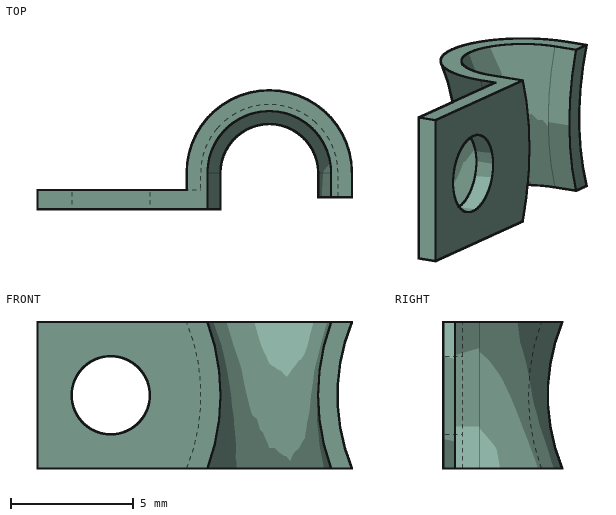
import cadquery as cq
import math

total_length = 12.88
width = 6.0
thickness = 0.8
throat_radius = 2.0
flare_radius = 8.68
tab_leg_length = 1.5
free_leg_length = 1.0
hole_diameter = 3.2

half_width = width / 2
outer_throat_radius = throat_radius + thickness
outer_flare_radius = flare_radius - thickness


def arc_sag(radius):
    return radius - math.sqrt(radius**2 - half_width**2)


inner_mouth_radius = throat_radius + arc_sag(flare_radius)
outer_mouth_radius = outer_throat_radius + arc_sag(outer_flare_radius)
tab_end_x = outer_mouth_radius - total_length
hole_x = tab_end_x + half_width


def wall_section(side):
    """Flared wall section on the -X (side=-1) or +X (side=1) side of the axis."""
    return (
        cq.Workplane("XZ")
        .moveTo(side * inner_mouth_radius, -half_width)
        .threePointArc((side * throat_radius, 0), (side * inner_mouth_radius, half_width))
        .lineTo(side * outer_mouth_radius, half_width)
        .threePointArc((side * outer_throat_radius, 0), (side * outer_mouth_radius, -half_width))
        .close()
    )


saddle = wall_section(1).revolve(180, (0, 0, 0), (0, 1, 0))

tab_leg = wall_section(-1).extrude(tab_leg_length)
free_leg = wall_section(1).extrude(free_leg_length)

tab = (
    cq.Workplane("XZ", origin=(0, -tab_leg_length + thickness, 0))
    .moveTo(tab_end_x, -half_width)
    .lineTo(-inner_mouth_radius, -half_width)
    .threePointArc((-throat_radius, 0), (-inner_mouth_radius, half_width))
    .lineTo(tab_end_x, half_width)
    .close()
    .moveTo(hole_x, 0)
    .circle(hole_diameter / 2)
    .extrude(thickness)
)

result = saddle.union(tab_leg).union(free_leg).union(tab)